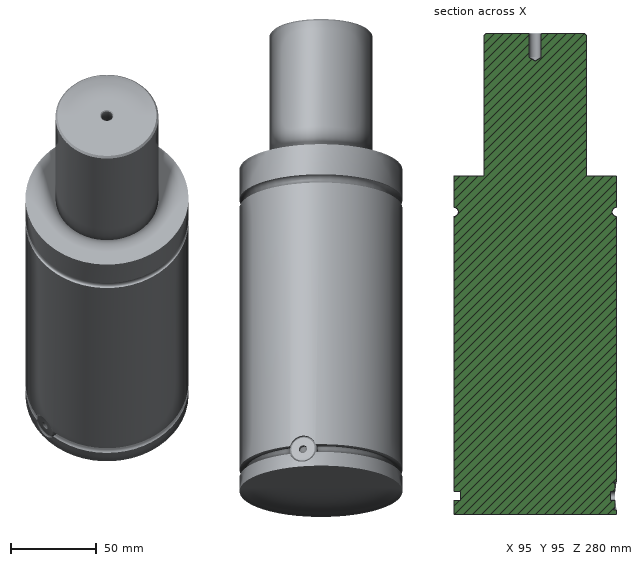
import cadquery as cq
import math

total_height = 280
body_diameter = 95.0
body_height = 197.0
rod_diameter = 60.0
rod_chamfer = 1.0

upper_groove_z = 176.0
upper_groove_radius = 2.5

lower_groove_bottom = 8.5
lower_groove_width = 4.8
lower_groove_depth = 4.0

rod_hole_diameter = 6.7
rod_hole_depth = 14
rod_hole_mouth_diameter = 7.8
drill_point_angle = 120

plug_diameter = 16.0
plug_face_diameter = 14
plug_face_recess = 0.8
plug_length = 11.2
plug_hole_diameter = 4.8
plug_hole_depth = 2.8

body_radius = body_diameter / 2
rod_radius = rod_diameter / 2


def make_cylinder():
    """Body and rod with both grooves, revolved about Z."""
    groove_floor_radius = body_radius - lower_groove_depth
    lower_groove_top = lower_groove_bottom + lower_groove_width
    profile = (
        cq.Workplane("XZ")
        .lineTo(body_radius, 0)
        .lineTo(body_radius, lower_groove_bottom)
        .lineTo(groove_floor_radius, lower_groove_bottom)
        .lineTo(groove_floor_radius, lower_groove_top)
        .lineTo(body_radius, lower_groove_top)
        .lineTo(body_radius, upper_groove_z - upper_groove_radius)
        .threePointArc(
            (body_radius - upper_groove_radius, upper_groove_z),
            (body_radius, upper_groove_z + upper_groove_radius),
        )
        .lineTo(body_radius, body_height)
        .lineTo(rod_radius, body_height)
        .lineTo(rod_radius, total_height - rod_chamfer)
        .lineTo(rod_radius - rod_chamfer, total_height)
        .lineTo(0, total_height)
        .close()
    )
    return profile.revolve(360, (0, 0), (0, 1))


def make_rod_hole():
    """Countersunk blind hole with a conical bottom."""
    radius = rod_hole_diameter / 2
    mouth_radius = rod_hole_mouth_diameter / 2
    floor_z = total_height - rod_hole_depth
    point_depth = radius / math.tan(math.radians(drill_point_angle / 2))
    profile = (
        cq.Workplane("XZ")
        .moveTo(0, total_height)
        .lineTo(mouth_radius, total_height)
        .lineTo(radius, total_height - (mouth_radius - radius))
        .lineTo(radius, floor_z)
        .lineTo(0, floor_z - point_depth)
        .close()
    )
    return profile.revolve(360, (0, 0), (0, 1))


def front_cylinder(diameter, face_y, length):
    """Cylinder running from a face at face_y into the body, along +Y."""
    plug_z = lower_groove_bottom + lower_groove_width / 2
    plane = cq.Workplane("XZ", origin=(0, face_y, plug_z))
    return plane.circle(diameter / 2).extrude(-length)


def make_plug():
    """Valve plug with a chamfered rim and a small central hole."""
    face_y = plug_face_recess - body_radius
    rim_chamfer = (plug_diameter - plug_face_diameter) / 2
    plug = front_cylinder(plug_diameter, face_y, plug_length)
    plug = plug.faces("<Y").chamfer(rim_chamfer)
    return plug.cut(front_cylinder(plug_hole_diameter, face_y, plug_hole_depth))


plug_seat = front_cylinder(plug_diameter, -body_radius, plug_length)
result = make_cylinder().cut(make_rod_hole()).cut(plug_seat).union(make_plug())